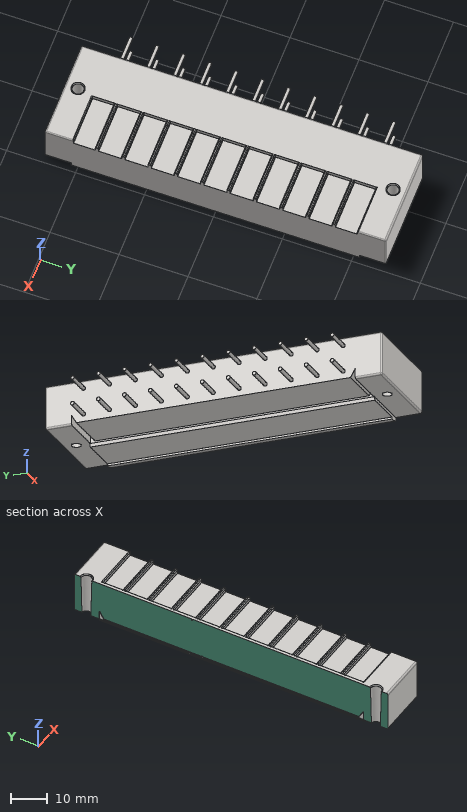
import cadquery as cq

length = 99.1
depth = 29.0
height = 12.8
edge_radius = 0.5
rear_edge_radius = 0.3

pitch = 7.6
pin_columns = 11
pin_diameter = 1.1
pin_length = 8.0
upper_pin_below_top = 2.5
row_spacing = 7.6

recess_width = 82.8
recess_run = 15.0
recess_depth = 1.3
rib_thickness = 1.0
recess_bevel = 0.3

hole_from_pin_face = 13.2
hole_from_end = 3.9
hole_top_diameter = 3.3
hole_bottom_diameter = 2.7
mouth_diameter = 3.9

plate_width = 83.6
plate_run = 15.7
plate_drop = 0.9
plate_lead_in = 0.4
lip_run = 3.0
lip_drop = 1.5
lip_flat = 1.1

relief_width = 83.3
relief_depth = 0.5
notch_width = 1.4
notch_height = 2.9

plate_start = depth - plate_run


def pitch_positions(count):
    """Y positions of count features spaced at the pin pitch about Y = 0."""
    return [(i - (count - 1) / 2) * pitch for i in range(count)]


def make_body():
    block = cq.Workplane("XY").box(depth, length, height, centered=(False, True, False))
    return block.edges("not >X").fillet(edge_radius).faces(">X").edges().fillet(rear_edge_radius)


def bevelled_bar(y, width, crest_width):
    """Bar filling the recess along X and Z, upright below and bevelled to crest_width at the top."""
    floor = height - recess_depth
    shoulder = height - recess_bevel
    return (
        cq.Workplane("YZ", origin=(depth - recess_run, y, 0))
        .polyline(
            [
                (-width / 2, floor),
                (width / 2, floor),
                (width / 2, shoulder),
                (crest_width / 2, height),
                (-crest_width / 2, height),
                (-width / 2, shoulder),
            ]
        )
        .close()
        .extrude(recess_run)
    )


def cut_ribbed_recess(body):
    body = body.cut(bevelled_bar(0, recess_width - 2 * recess_bevel, recess_width))
    for y in pitch_positions(pin_columns - 1):
        body = body.union(bevelled_bar(y, rib_thickness, rib_thickness - 2 * recess_bevel))
    return body


def drill_mounting_holes(body):
    mouth_radius = mouth_diameter / 2
    top_radius = hole_top_diameter / 2
    mouth_depth = mouth_radius - top_radius
    hole = (
        cq.Workplane("XZ")
        .polyline(
            [
                (0, 0),
                (hole_bottom_diameter / 2, 0),
                (top_radius, height - mouth_depth),
                (mouth_radius, height),
                (0, height),
            ]
        )
        .close()
        .revolve(360, (0, 0), (0, 1))
    )
    hole_y = length / 2 - hole_from_end
    for y in (-hole_y, hole_y):
        body = body.cut(hole.translate((hole_from_pin_face, y, 0)))
    return body


def cut_underside_relief(body):
    relief = cq.Workplane("XY").box(plate_start, relief_width, relief_depth, centered=(False, True, False))
    body = body.cut(relief)
    for side in (-1, 1):
        outer = side * relief_width / 2
        inner = outer - side * notch_width
        notch = (
            cq.Workplane("YZ")
            .polyline([(outer, 0), (outer, notch_height), (inner, relief_depth), (inner, 0)])
            .close()
            .extrude(plate_start)
        )
        body = body.cut(notch)
    return body


def make_cover_plate():
    lip_start = depth - lip_run
    outline = [
        (plate_start, relief_depth),
        (plate_start, 0),
        (plate_start + plate_lead_in, -plate_drop),
        (lip_start, -plate_drop),
        (lip_start, -lip_drop),
        (lip_start + lip_flat, -lip_drop),
        (depth, -plate_drop),
        (depth, relief_depth),
    ]
    return cq.Workplane("XZ").polyline(outline).close().extrude(plate_width / 2, both=True)


def make_pins():
    upper_z = height - upper_pin_below_top
    points = [(y, z) for y in pitch_positions(pin_columns) for z in (upper_z, upper_z - row_spacing)]
    return cq.Workplane("YZ").pushPoints(points).circle(pin_diameter / 2).extrude(-pin_length)


body = cut_ribbed_recess(make_body())
body = drill_mounting_holes(body)
body = cut_underside_relief(body)
result = body.union(make_cover_plate()).union(make_pins())